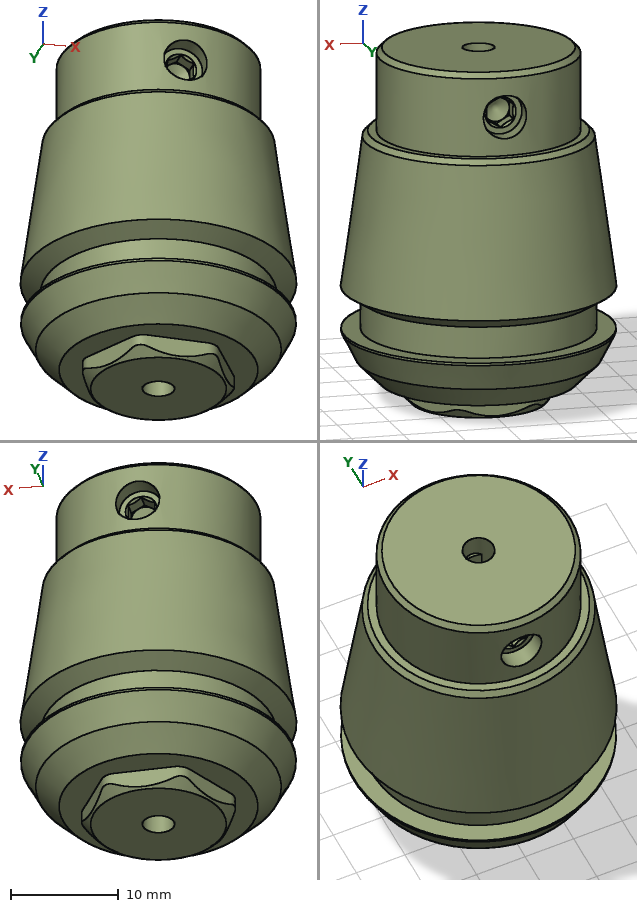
import cadquery as cq
import math

total_height = 34.0
flange_bottom = 1.97
flange_break = 4.1
flange_rim_bottom = 6.75
flange_top = 7.0
sleeve_bottom = 10.0
sleeve_rim = 11.1
shoulder = 26.0

bore_diameter = 3.0
top_diameter = 19.0
top_chamfer = 0.5
shoulder_diameter = 21.65
shoulder_chamfer = 0.5
sleeve_diameter = 25.7
neck_diameter = 22.0
flange_diameter = 25.6
break_diameter = 22.85
flange_base_diameter = 18.5

hex_across_flats = 13.0
hex_corner_radius = 1.5
hex_bottom_diameter = 12.6

screw_z = 29.7
screw_diameter = 4.15
screw_recess_depth = 1.8
screw_tip_offset = 1.2
socket_mouth_diameter = 3.0
socket_across_flats = 2.5
socket_depth = 1.5
socket_cone_depth = 0.7


def corner_diameter(across_flats):
    """Diameter of the circle through the sharp corners of a hexagon."""
    return across_flats / math.cos(math.radians(30))


def make_body():
    """Revolve the flange, neck, tapered sleeve and top spigot."""
    profile = [
        (0, flange_bottom),
        (flange_base_diameter / 2, flange_bottom),
        (break_diameter / 2, flange_break),
        (flange_diameter / 2, flange_rim_bottom),
        (flange_diameter / 2, flange_top),
        (neck_diameter / 2, flange_top),
        (neck_diameter / 2, sleeve_bottom),
        (sleeve_diameter / 2, sleeve_rim),
        (shoulder_diameter / 2, shoulder - shoulder_chamfer),
        (shoulder_diameter / 2 - shoulder_chamfer, shoulder),
        (top_diameter / 2, shoulder),
        (top_diameter / 2, total_height - top_chamfer),
        (top_diameter / 2 - top_chamfer, total_height),
        (0, total_height),
    ]
    return cq.Workplane("XZ").polyline(profile).close().revolve(360, (0, 0), (0, 1))


def make_hexagon():
    """Hexagon with corners on the X axis, bevelled by a cone at the bottom."""
    prism = (
        cq.Workplane("XY")
        .polygon(6, corner_diameter(hex_across_flats))
        .extrude(flange_bottom)
        .edges("|Z")
        .fillet(hex_corner_radius)
    )
    bottom_radius = hex_bottom_diameter / 2
    bevel_cone = cq.Workplane(cq.Solid.makeCone(bottom_radius, bottom_radius + flange_bottom, flange_bottom))
    return prism.intersect(bevel_cone)


def make_screw_fill(side):
    """Screw from the recess floor to its flat tip, which projects into the bore."""
    length = top_diameter / 2 - screw_recess_depth - screw_tip_offset
    start = cq.Vector(0, side * screw_tip_offset, screw_z)
    return cq.Workplane(cq.Solid.makeCylinder(screw_diameter / 2, length, start, cq.Vector(0, side, 0)))


def make_screw_cut(side):
    """Recess above the screw and its countersunk hexagon socket with a conical floor."""
    inward = cq.Vector(0, -side, 0)
    surface = top_diameter / 2
    floor = surface - screw_recess_depth
    mouth_depth = (socket_mouth_diameter - socket_across_flats) / 2
    cone_start = floor - socket_depth

    def at(y):
        return cq.Vector(0, side * y, screw_z)

    recess = cq.Solid.makeCylinder(screw_diameter / 2, screw_recess_depth, at(surface), inward)
    mouth = cq.Solid.makeCone(socket_mouth_diameter / 2, socket_across_flats / 2, mouth_depth, at(floor), inward)
    socket_plane = cq.Plane(origin=at(floor), xDir=(0, 0, 1), normal=inward)
    socket = (
        cq.Workplane(socket_plane)
        .polygon(6, corner_diameter(socket_across_flats))
        .extrude(socket_depth)
    )
    tip = cq.Solid.makeCone(socket_across_flats / 2, 0, socket_cone_depth, at(cone_start), inward)
    return cq.Workplane(recess).union(cq.Workplane(mouth)).union(socket).union(cq.Workplane(tip))


result = make_body().union(make_hexagon())
result = result.cut(cq.Workplane("XY").circle(bore_diameter / 2).extrude(total_height))
for side in (-1, 1):
    result = result.union(make_screw_fill(side)).cut(make_screw_cut(side))